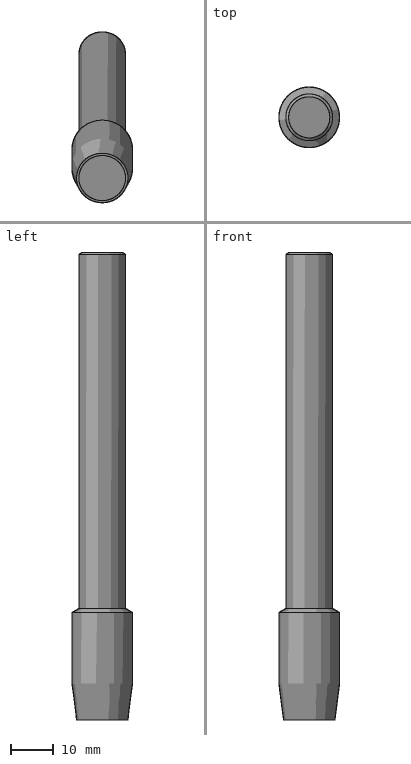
import cadquery as cq

rod_length = 110.0
rod_radius = 5.5
rod_chamfer_width = 0.7
rod_chamfer_height = 0.4

sleeve_radius = 7.2
sleeve_bottom_radius = 6.0
taper_height = 8.6
shoulder_height = 25.3
sleeve_height = 26.3


def revolve_profile(points):
    """Turn a closed (radius, height) outline around the Z axis."""
    return cq.Workplane("XZ").polyline(points).close().revolve(360, (0, 0), (0, 1))


def make_rod():
    return revolve_profile([
        (0, 0),
        (rod_radius, 0),
        (rod_radius, rod_length - rod_chamfer_height),
        (rod_radius - rod_chamfer_width, rod_length),
        (0, rod_length),
    ])


def make_sleeve():
    """Tapered collar whose through bore fits the rod."""
    return revolve_profile([
        (rod_radius, 0),
        (sleeve_bottom_radius, 0),
        (sleeve_radius, taper_height),
        (sleeve_radius, shoulder_height),
        (rod_radius, sleeve_height),
    ])


rod = make_rod()
sleeve = make_sleeve()

result = cq.Compound.makeCompound([rod.val(), sleeve.val()])